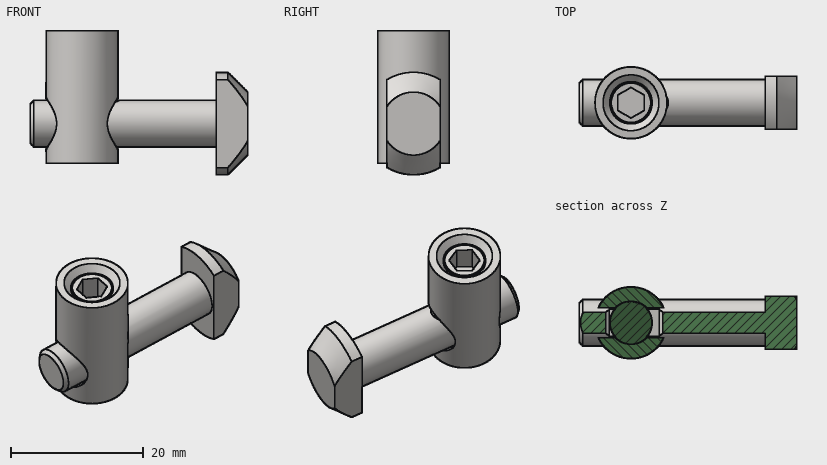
import cadquery as cq
import math


BOLT_LENGTH = 32.8
BOLT_TIP_X = -7.8
SHANK_DIAMETER = 7.1
TIP_CHAMFER = 0.55
HEAD_DIAMETER = 15.48
HEAD_WIDTH = 8.0
HEAD_LENGTH = 4.8
HEAD_RIM_LENGTH = 1.8
SEAT_CENTER_X = 0.5
SEAT_DEPTH = 0.62
SEAT_FLOOR_LENGTH = 7.48
SEAT_RAMP_LENGTH = 1.4

HOUSING_DIAMETER = 10.85
HOUSING_HEIGHT = 20.0
HOUSING_TOP_Z = 14.0
CROSS_HOLE_DIAMETER = 7.7
BORE_DIAMETER = 6.4
BORE_CHAMFER = 1.02

SCREW_CHAMFER = 0.23
HEX_ACROSS_FLATS = 4.0
HEX_DEPTH = 3.95

HEAD_END_X = BOLT_TIP_X + BOLT_LENGTH
HEAD_START_X = HEAD_END_X - HEAD_LENGTH
SEAT_Z = SHANK_DIAMETER / 2 - SEAT_DEPTH
SCREW_TOP_Z = HOUSING_TOP_Z - BORE_CHAMFER


def cylinder_along_x(diameter, start_x, length):
    return cq.Workplane("YZ").workplane(offset=start_x).circle(diameter / 2).extrude(length)


def make_head():
    """Round head with a 45 degree cone at its end and two flat sides."""
    cone_length = HEAD_LENGTH - HEAD_RIM_LENGTH
    disc = cylinder_along_x(HEAD_DIAMETER, HEAD_START_X, HEAD_LENGTH).faces(">X").chamfer(cone_length)
    slab = cq.Workplane("XY").box(HEAD_LENGTH, HEAD_WIDTH, HEAD_DIAMETER)
    return disc.intersect(slab.translate((HEAD_START_X + HEAD_LENGTH / 2, 0, 0)))


def make_seat_cutter():
    """Flat-bottomed notch with sloping ends, on which the set screw bears."""
    half_floor = SEAT_FLOOR_LENGTH / 2
    half_top = half_floor + SEAT_RAMP_LENGTH
    outline = [
        (SEAT_CENTER_X - half_floor, SEAT_Z),
        (SEAT_CENTER_X + half_floor, SEAT_Z),
        (SEAT_CENTER_X + half_top, SEAT_Z + SEAT_DEPTH),
        (SEAT_CENTER_X - half_top, SEAT_Z + SEAT_DEPTH),
    ]
    return cq.Workplane("XZ").polyline(outline).close().extrude(SHANK_DIAMETER / 2, both=True)


def make_bolt():
    shank = cylinder_along_x(SHANK_DIAMETER, BOLT_TIP_X, BOLT_LENGTH - HEAD_LENGTH)
    shank = shank.faces("<X").chamfer(TIP_CHAMFER)
    return shank.cut(make_seat_cutter()).union(make_head())


def make_housing():
    """Cylinder with a cross hole for the bolt and a bore down to it for the set screw."""
    body = cq.Workplane("XY").workplane(offset=HOUSING_TOP_Z - HOUSING_HEIGHT)
    body = body.circle(HOUSING_DIAMETER / 2).extrude(HOUSING_HEIGHT)
    bore = cq.Workplane("XY").circle(BORE_DIAMETER / 2).extrude(HOUSING_TOP_Z)
    body = body.cut(bore)
    body = body.faces(">Z").edges(cq.selectors.RadiusNthSelector(0)).chamfer(BORE_CHAMFER)
    cross_hole = cylinder_along_x(CROSS_HOLE_DIAMETER, -HOUSING_DIAMETER, 2 * HOUSING_DIAMETER)
    return body.cut(cross_hole)


def make_set_screw():
    """Headless screw from the notch floor up to the foot of the bore chamfer."""
    screw = cq.Workplane("XY").workplane(offset=SEAT_Z)
    screw = screw.circle(BORE_DIAMETER / 2).extrude(SCREW_TOP_Z - SEAT_Z)
    screw = screw.faces(">Z").chamfer(SCREW_CHAMFER)
    hex_diameter = HEX_ACROSS_FLATS / math.cos(math.pi / 6)
    socket = cq.Workplane("XY").workplane(offset=SCREW_TOP_Z - HEX_DEPTH)
    socket = socket.transformed(rotate=(0, 0, 90)).polygon(6, hex_diameter).extrude(HEX_DEPTH)
    return screw.cut(socket)


bolt = make_bolt()
housing = make_housing()
set_screw = make_set_screw()

result = cq.Compound.makeCompound([bolt.val(), housing.val(), set_screw.val()])